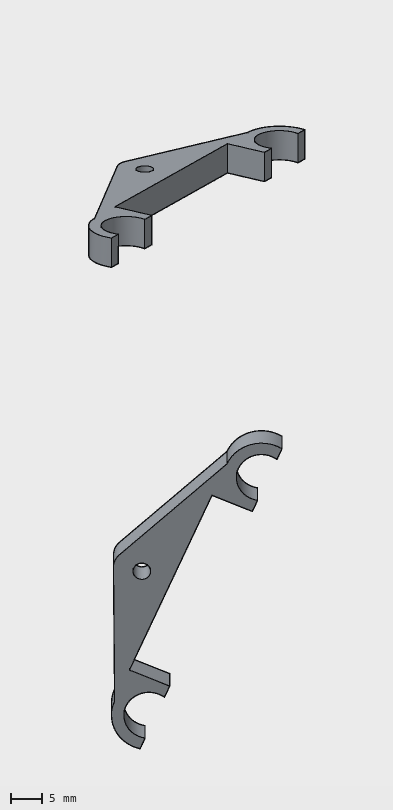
import cadquery as cq
import math

length = 57.0
width = 16.7
thickness = 5.0
clip_outer_radius = 6.0
clip_inner_radius = 4.0
clip_overhang = 1.0
tip_radius = 3.0
hole_diameter = 2.8
hole_x = 4.7

clip_x = width - clip_overhang
clip_y = length / 2 - clip_outer_radius
back_x = clip_x - clip_outer_radius

run_x = back_x - tip_radius
side_angle = math.atan2(run_x, clip_y) + math.asin(tip_radius / math.hypot(run_x, clip_y))
tangent_x = tip_radius * (1 - math.cos(side_angle))
tangent_y = tip_radius * math.sin(side_angle)


def make_body():
    """Triangular plate with a rounded tip."""
    return (
        cq.Workplane("XY")
        .moveTo(back_x, -clip_y)
        .lineTo(tangent_x, -tangent_y)
        .threePointArc((0, 0), (tangent_x, tangent_y))
        .lineTo(back_x, clip_y)
        .close()
        .extrude(thickness)
    )


def clip_disc(side, radius):
    """Full disc about a clip's centre."""
    return cq.Workplane("XY").center(clip_x, side * clip_y).circle(radius).extrude(thickness)


def clip_corner(side):
    """Square block behind the inner half of a clip, flush with the body's inner edge."""
    y_inner = side * (clip_y - clip_outer_radius)
    return (
        cq.Workplane("XY")
        .moveTo(back_x, side * clip_y)
        .lineTo(width, side * clip_y)
        .lineTo(width, y_inner)
        .lineTo(back_x, y_inner)
        .close()
        .extrude(thickness)
    )


result = make_body()
for side in (-1, 1):
    result = result.union(clip_disc(side, clip_outer_radius)).union(clip_corner(side))
    result = result.cut(clip_disc(side, clip_inner_radius))

opening = cq.Workplane("XY").box(clip_outer_radius, length, thickness, centered=(False, True, False))
result = result.cut(opening.translate((width, 0, 0)))

hole = cq.Workplane("XY").center(hole_x, 0).circle(hole_diameter / 2).extrude(thickness)
result = result.cut(hole)